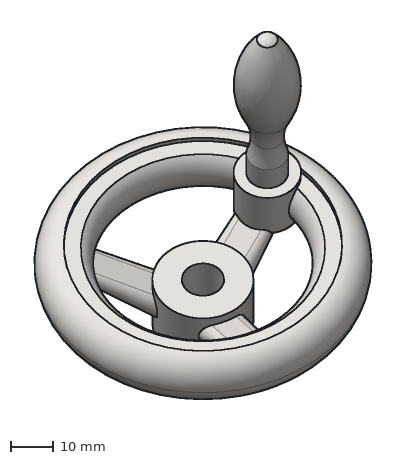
import cadquery as cq
import math

wheel_radius = 40.0
rim_tube_diameter = 14.0
rim_bottom = 15.0
rim_step_depth = 1.3
rim_tube_radius = rim_tube_diameter / 2
rim_radius = wheel_radius - rim_tube_radius
rim_middle = rim_bottom + rim_tube_radius
rim_top = rim_bottom + rim_tube_diameter

hub_radius = 12.0
hub_height = 16.0
bore_diameter = 10.0

spoke_count = 3
spoke_start_radius = 8.0
spoke_start_height = 8.2
spoke_flat_width = 6.4
spoke_root_thickness = 6.1
spoke_tip_thickness = 2.7

handle_offset = 27.0
boss_radius = 8.0
boss_bottom = 16.0
stem_diameter = 10.0
stem_radius = stem_diameter / 2
stem_top = 36.0
neck_radius = 4.0
neck_height = 42.4
grip_start_radius = 5.6
grip_start_height = 50.0
grip_radius = 8.0
grip_widest_height = 61.3
tip_radius = 2.5
tip_start_height = 78.0
handle_top = 79.0


def make_rim():
    tube = (
        cq.Workplane("XZ")
        .center(rim_radius, rim_middle)
        .circle(rim_tube_radius)
        .revolve(360, (-rim_radius, 0), (-rim_radius, 1))
    )
    step = (
        cq.Workplane("XY")
        .workplane(offset=rim_top - rim_step_depth)
        .circle(rim_radius)
        .extrude(rim_step_depth)
    )
    return tube.cut(step)


def make_spoke():
    """Spoke along +Y, ending at the centre of the rim tube."""
    run = rim_radius - spoke_start_radius
    rise = rim_middle - spoke_start_height
    section = cq.Plane(
        origin=(0, spoke_start_radius, spoke_start_height),
        xDir=(1, 0, 0),
        normal=(0, run, rise),
    )
    return (
        cq.Workplane(section)
        .slot2D(spoke_flat_width + spoke_root_thickness, spoke_root_thickness)
        .workplane(offset=math.hypot(run, rise))
        .slot2D(spoke_flat_width + spoke_tip_thickness, spoke_tip_thickness)
        .loft(ruled=True)
    )


def neck_arc_middle(end_radius, end_height):
    """Midpoint of an arc that leaves the neck parallel to the handle axis."""
    flare = end_radius - neck_radius
    length = end_height - neck_height
    arc_radius = (flare**2 + length**2) / (2 * flare)
    half_angle = math.asin(length / arc_radius) / 2
    radius = neck_radius + arc_radius * (1 - math.cos(half_angle))
    height = neck_height + arc_radius * math.sin(half_angle)
    return radius, height


def make_handle():
    tip_height = handle_top - tip_start_height
    tip_sphere_radius = (tip_radius**2 + tip_height**2) / (2 * tip_height)
    tip_half_angle = math.asin(tip_radius / tip_sphere_radius) / 2
    tip_middle = (
        tip_sphere_radius * math.sin(tip_half_angle),
        handle_top - tip_sphere_radius * (1 - math.cos(tip_half_angle)),
    )
    return (
        cq.Workplane("XZ")
        .moveTo(0, boss_bottom)
        .lineTo(boss_radius, boss_bottom)
        .lineTo(boss_radius, rim_top)
        .lineTo(stem_radius, rim_top)
        .lineTo(stem_radius, stem_top)
        .threePointArc(neck_arc_middle(stem_radius, stem_top), (neck_radius, neck_height))
        .threePointArc(
            neck_arc_middle(grip_start_radius, grip_start_height),
            (grip_start_radius, grip_start_height),
        )
        .threePointArc((grip_radius, grip_widest_height), (tip_radius, tip_start_height))
        .threePointArc(tip_middle, (0, handle_top))
        .close()
        .revolve(360, (0, 0), (0, 1))
        .translate((0, handle_offset, 0))
    )


wheel = make_rim().union(cq.Workplane("XY").circle(hub_radius).extrude(hub_height))
for index in range(spoke_count):
    spoke_angle = index * 360 / spoke_count
    wheel = wheel.union(make_spoke().rotate((0, 0, 0), (0, 0, 1), spoke_angle))

bore = cq.Workplane("XY").circle(bore_diameter / 2).extrude(hub_height)
result = wheel.union(make_handle()).cut(bore)